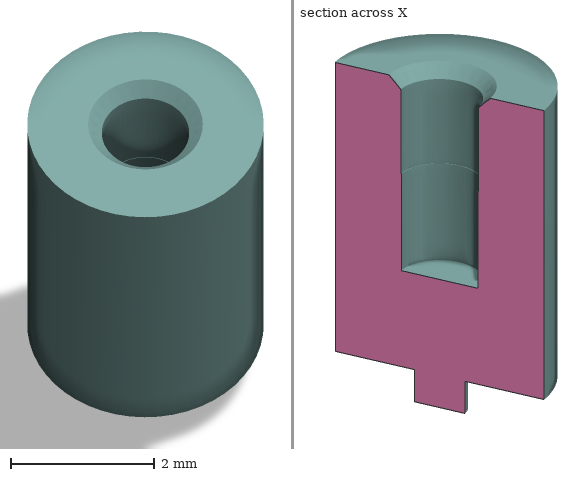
import cadquery as cq

body_diameter = 3.3
body_height = 4.5
pin_diameter = 0.8
pin_length = 0.5

countersink_diameter = 1.6
upper_bore_diameter = 1.22
lower_bore_diameter = 1.2
countersink_depth = (countersink_diameter - upper_bore_diameter) / 2
bore_depth = 3.0
step_depth = bore_depth / 2


def make_body():
    """Main cylinder, bottom face on the XY plane."""
    return cq.Workplane("XY").circle(body_diameter / 2).extrude(body_height)


def make_pin():
    """Pin hanging from the centre of the bottom face."""
    return cq.Workplane("XY").circle(pin_diameter / 2).extrude(-pin_length)


def make_bore():
    """Volume of the bore, as a half profile (radius, height) revolved about Z."""
    upper_radius = upper_bore_diameter / 2
    lower_radius = lower_bore_diameter / 2
    floor_height = body_height - bore_depth
    step_height = body_height - step_depth
    return (
        cq.Workplane("XZ")
        .moveTo(0, floor_height)
        .lineTo(lower_radius, floor_height)
        .lineTo(lower_radius, step_height)
        .lineTo(upper_radius, step_height)
        .lineTo(upper_radius, body_height - countersink_depth)
        .lineTo(countersink_diameter / 2, body_height)
        .lineTo(0, body_height)
        .close()
        .revolve(360, (0, 0, 0), (0, 1, 0))
    )


result = make_body().union(make_pin()).cut(make_bore())